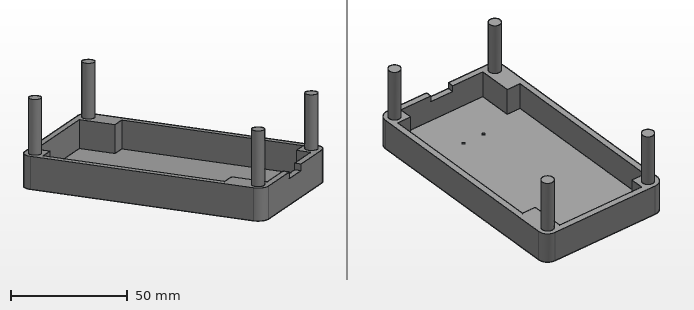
import cadquery as cq

length = 115.0
width = 65.0
tray_height = 15.0
floor_thickness = 2.0
wall = 3.0
corner_radius = 5.0

post_diameter = 5.8
overall_height = 40.0
post_inset = 5.0

block_depth = 7.0
long_block = 16.8
short_block = 6.7

notch_width = 12.0
notch_depth = 3.0

hole_diameter = 1.4
hole_x = 32.8
hole_spacing = 11.0

pocket_x = length / 2 - wall
pocket_y = width / 2 - wall


def make_tray():
    """Rounded rectangular tray with a plain rectangular pocket."""
    outer = (
        cq.Workplane("XY")
        .box(length, width, tray_height, centered=(True, True, False))
        .edges("|Z")
        .fillet(corner_radius)
    )
    pocket = (
        cq.Workplane("XY")
        .workplane(offset=floor_thickness)
        .rect(2 * pocket_x, 2 * pocket_y)
        .extrude(tray_height)
    )
    return outer.cut(pocket)


def corner_block(side_x, side_y):
    """Block in one pocket corner; diagonally opposite blocks match."""
    block_length = short_block if side_x == side_y else long_block
    return (
        cq.Workplane("XY")
        .center(side_x * (pocket_x - block_length / 2), side_y * (pocket_y - block_depth / 2))
        .rect(block_length, block_depth)
        .extrude(tray_height)
    )


def corner_post(side_x, side_y):
    """Round post standing on the tray rim at one corner."""
    return (
        cq.Workplane("XY")
        .center(side_x * (length / 2 - post_inset), side_y * (width / 2 - post_inset))
        .circle(post_diameter / 2)
        .extrude(overall_height)
    )


result = make_tray()
for side_x in (-1, 1):
    for side_y in (-1, 1):
        result = result.union(corner_block(side_x, side_y))
        result = result.union(corner_post(side_x, side_y))

notch = (
    cq.Workplane("XY")
    .workplane(offset=tray_height - notch_depth)
    .center(length / 2 - wall / 2, 0)
    .rect(wall, notch_width)
    .extrude(notch_depth)
)
floor_holes = (
    cq.Workplane("XY")
    .pushPoints([(hole_x, -hole_spacing / 2), (hole_x, hole_spacing / 2)])
    .circle(hole_diameter / 2)
    .extrude(floor_thickness)
)
result = result.cut(notch).cut(floor_holes)